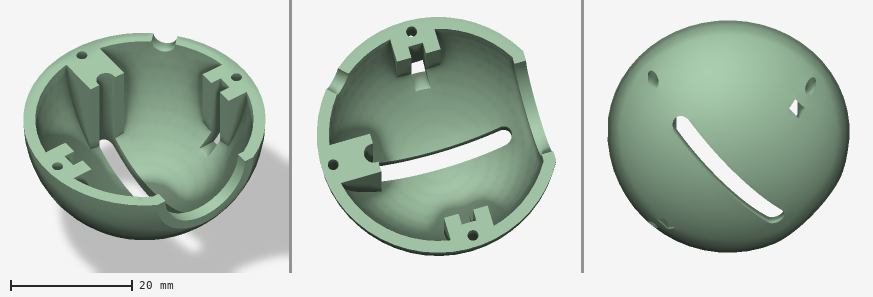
import cadquery as cq

outer_radius = 20.0
wall = 2.0
inner_radius = outer_radius - wall

flat_x = 17.5
side_opening_radius = 8.0

groove_radius = 2.0
groove_angle = 135.0

screw_hole_diameter = 1.8
screw_circle_radius = 18.0
side_pad_width = 7.5
side_pad_center_x = 0.75
side_pad_inner_y = 13.8
end_pad_width = 6.7
end_pad_inner_x = -10.7

notch_width = 2.5
notch_outer_y = 15.7
notch_inner_y = 11.0
notch_floor_z = -14.0

slot_length = 25.3
slot_width = 3.2


def box_between(x_min, x_max, y_min, y_max, z_min, z_max):
    """Box given by its limits along each axis."""
    size = (x_max - x_min, y_max - y_min, z_max - z_min)
    return cq.Workplane("XY").box(*size, centered=False).translate((x_min, y_min, z_min))


def lower_half_ball(radius, x_limit):
    """Lower half of a ball, cut flat at X = x_limit."""
    keep = box_between(-radius, x_limit, -radius, radius, -radius, 0)
    return cq.Workplane("XY").sphere(radius).intersect(keep)


def make_side_pad(side):
    """Pad against the +Y (side = 1) or -Y (side = -1) wall."""
    y_limits = sorted((side * side_pad_inner_y, side * outer_radius))
    x_min = side_pad_center_x - side_pad_width / 2
    return box_between(x_min, x_min + side_pad_width, *y_limits, -outer_radius, 0)


def make_end_pad():
    """Pad against the -X wall."""
    half_width = end_pad_width / 2
    return box_between(-outer_radius, end_pad_inner_x, -half_width, half_width, -outer_radius, 0)


def make_notch(side):
    """Flat-floored notch through a side pad, open toward the middle."""
    y_limits = sorted((side * notch_inner_y, side * notch_outer_y))
    x_min = side_pad_center_x - notch_width / 2
    return box_between(x_min, x_min + notch_width, *y_limits, notch_floor_z, 0)


def make_screw_holes():
    """One vertical through hole in each pad."""
    centers = [
        (side_pad_center_x, screw_circle_radius),
        (side_pad_center_x, -screw_circle_radius),
        (-screw_circle_radius, 0),
    ]
    holes = cq.Workplane("XY").pushPoints(centers).circle(screw_hole_diameter / 2)
    return holes.extrude(-outer_radius)


def make_bottom_slot():
    """Round-ended slot along X, cut vertically through the bottom and the end pad."""
    return cq.Workplane("XY").slot2D(slot_length, slot_width).extrude(-outer_radius)


def make_side_opening():
    """Half-round opening through the flat wall."""
    wall_inner_x = flat_x - wall
    return cq.Workplane("YZ", origin=(wall_inner_x, 0, 0)).circle(side_opening_radius).extrude(wall)


def make_rim_groove():
    """Half-round groove running radially across the rim."""
    groove_start = inner_radius - wall
    bar = cq.Workplane("YZ", origin=(groove_start, 0, 0)).circle(groove_radius)
    bar = bar.extrude(outer_radius + wall - groove_start)
    return bar.rotate((0, 0, 0), (0, 0, 1), groove_angle)


outer_body = lower_half_ball(outer_radius, flat_x)
cavity = lower_half_ball(inner_radius, flat_x - wall)

cavity = cavity.cut(make_end_pad())
for side in (1, -1):
    cavity = cavity.cut(make_side_pad(side))

body = outer_body.cut(cavity)
for side in (1, -1):
    body = body.cut(make_notch(side))
body = body.cut(make_screw_holes())
body = body.cut(make_bottom_slot())
body = body.cut(make_side_opening())
result = body.cut(make_rim_groove())